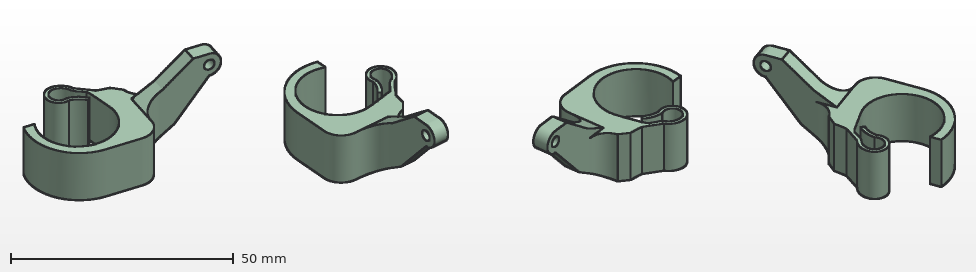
import cadquery as cq
import math

body_height = 12.95
bore_radius = 9.5
body_right = 12.4
body_back = 15.05
body_corner_radius = 5.0
hook_end_x = -3.8
hook_outer_radius = 12.83
hook_bottom_y = -11.95

arm_left = -2.4
arm_width = 4.0
arm_right = arm_left + arm_width
web_radius = 5.0
overall_length = 47.7
overall_height = 22.05
eye_radius = 3.0
eye_hole_diameter = 2.6
arm_lower_bend = (23.95, 5.7)
arm_upper_bend = (20.9, 16.0)
arm_top_flat_start_y = 28.65
eye_y = hook_bottom_y + overall_length - eye_radius
eye_z = overall_height - eye_radius

chamfer_back_x = -6.45
shoulder_outer = [(-8.4, 12.85), (-8.75, 10.45), (-9.0, 9.5)]
neck_outer_end = (-12.2, 5.35)
neck_inner_end = (-10.85, 5.25)
throat_start = (-9.35, 7.4)
throat_middle = (-8.85, 7.7)
throat_end = (-8.25, 7.85)

strip_thickness = 1.0
curl_center = (-11.45, 1.45)
curl_radius = 2.8
curl_end_angle = 25
back_radius = 3.9
back_end_angle = 113
lip_root_angle = 20
lip_radius = 6.55
lip_start_angle = 175
lip_end_angle = 133


def polar(center, radius, degrees):
    """Point at an angle on a circle."""
    angle = math.radians(degrees)
    return (center[0] + radius * math.cos(angle), center[1] + radius * math.sin(angle))


def arc_band(center, mid_radius, start_angle, end_angle):
    """Full-height strip following a circular arc."""
    inner = mid_radius - strip_thickness / 2
    outer = mid_radius + strip_thickness / 2
    middle_angle = (start_angle + end_angle) / 2
    return (
        cq.Workplane("XY")
        .moveTo(*polar(center, outer, start_angle))
        .threePointArc(polar(center, outer, middle_angle), polar(center, outer, end_angle))
        .lineTo(*polar(center, inner, end_angle))
        .threePointArc(polar(center, inner, middle_angle), polar(center, inner, start_angle))
        .close()
        .extrude(body_height)
    )


back_center = (curl_center[0] - curl_radius + back_radius, curl_center[1])
lip_root = polar(curl_center, curl_radius, lip_root_angle)
lip_center = polar(lip_root, lip_radius, lip_start_angle - 180)


def make_body():
    """Open hook with a square back corner and a tapering neck on the left."""
    distance = math.hypot(*throat_end)
    direction = math.degrees(math.atan2(throat_end[1], throat_end[0]))
    tangent_angle = direction - math.degrees(math.acos(bore_radius / distance))
    hook_center = (body_right - hook_outer_radius, hook_bottom_y + hook_outer_radius)
    hook_end_outer_y = hook_center[1] - math.sqrt(hook_outer_radius**2 - (hook_end_x - hook_center[0]) ** 2)
    hook_end_inner_y = -math.sqrt(bore_radius**2 - hook_end_x**2)
    neck_root = polar(back_center, back_radius - strip_thickness / 2, back_end_angle)
    neck = [neck_outer_end, neck_root, neck_inner_end, throat_start]
    corner_center = (body_right - body_corner_radius, body_back - body_corner_radius)
    return (
        cq.Workplane("XY")
        .moveTo(hook_end_x, hook_end_outer_y)
        .threePointArc(polar(hook_center, hook_outer_radius, -45), (body_right, hook_center[1]))
        .lineTo(body_right, corner_center[1])
        .threePointArc(polar(corner_center, body_corner_radius, 45), (corner_center[0], body_back))
        .lineTo(chamfer_back_x, body_back)
        .polyline(shoulder_outer + neck, includeCurrent=True)
        .threePointArc(throat_middle, throat_end)
        .lineTo(*polar((0, 0), bore_radius, tangent_angle))
        .threePointArc((bore_radius, 0), (hook_end_x, hook_end_inner_y))
        .close()
        .extrude(body_height)
    )


def make_clip():
    """Back arc, round curl and outward-bent lip."""
    back = arc_band(back_center, back_radius, back_end_angle, 180)
    curl = arc_band(curl_center, curl_radius, 180, 360 + curl_end_angle)
    lip = arc_band(lip_center, lip_radius, lip_start_angle, lip_end_angle)
    return back.union(curl).union(lip)


def make_arm():
    """Cranked side profile, trimmed in plan to the arm and its two curved webs."""
    profile = (
        cq.Workplane("YZ")
        .moveTo(body_back, 0)
        .lineTo(*arm_lower_bend)
        .lineTo(eye_y, eye_z - eye_radius)
        .threePointArc((eye_y + eye_radius, eye_z), (eye_y, overall_height))
        .lineTo(arm_top_flat_start_y, overall_height)
        .lineTo(*arm_upper_bend)
        .lineTo(body_back, body_height)
        .close()
        .extrude(body_right, both=True)
    )
    web_top = body_back + web_radius
    left_center = (arm_left - web_radius, web_top)
    right_center = (arm_right + web_radius, web_top)
    chamfer_web_y = web_top - math.sqrt(web_radius**2 - (chamfer_back_x - left_center[0]) ** 2)
    plan = (
        cq.Workplane("XY")
        .moveTo(chamfer_back_x, body_back)
        .lineTo(chamfer_back_x, chamfer_web_y)
        .threePointArc(polar(left_center, web_radius, -45), (arm_left, web_top))
        .lineTo(arm_left, eye_y + eye_radius)
        .lineTo(arm_right, eye_y + eye_radius)
        .lineTo(arm_right, web_top)
        .threePointArc(polar(right_center, web_radius, 225), (right_center[0], body_back))
        .close()
        .extrude(overall_height)
    )
    left_web_relief = cq.Workplane("XY").box(
        body_right, overall_length, overall_height, centered=False
    ).translate((arm_left - body_right, 0, body_height))
    eye_hole = (
        cq.Workplane("YZ")
        .center(eye_y, eye_z)
        .circle(eye_hole_diameter / 2)
        .extrude(body_right, both=True)
    )
    return profile.intersect(plan).cut(left_web_relief).cut(eye_hole)


result = make_body().union(make_clip()).union(make_arm())